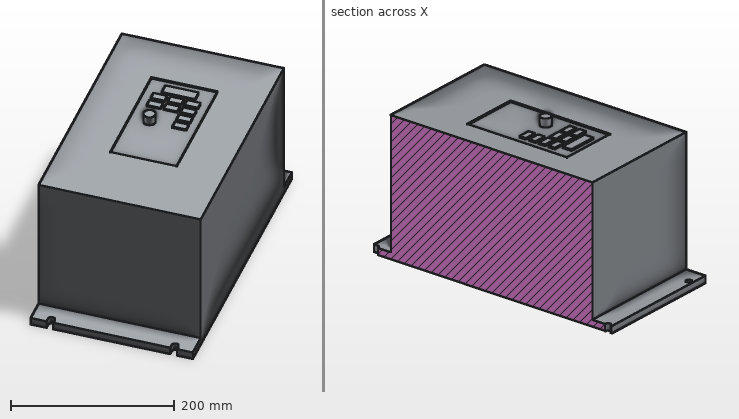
import cadquery as cq

width = 210.0
base_length = 375.0
base_thickness = 10.0
housing_length = 315.0
housing_top = 195.8

fixing_spacing = 160.0
hole_diameter = 8.0
hole_edge_distance = 6.5
slot_width = 8.5
slot_depth = 10.0

panel_width = 86.0
panel_length = 155.5
panel_center_y = 10.0
panel_depth = 2.0
panel_floor = housing_top - panel_depth

display_width = 43.5
display_length = 14.0
display_center_y = panel_center_y + 61.0
button_width = 18.0
button_length = 10.0
button_pitch_x = 21.8
button_pitch_y = 15.0
first_row_y = panel_center_y + 44.2
button_rows = [(-1, 0, 1), (-1, 0, 1), (1,), (1,)]

knob_diameter = 15.0
knob_x = -17.5
knob_y = panel_center_y - 3.0
knob_projection = 10.0


def block(size_x, size_y, bottom, top, center_x=0, center_y=0):
    """Upright rectangular block between two heights."""
    solid = cq.Workplane("XY").box(size_x, size_y, top - bottom, centered=(True, True, False))
    return solid.translate((center_x, center_y, bottom))


def cylinder(diameter, bottom, top, center_x, center_y):
    """Upright cylinder between two heights."""
    solid = cq.Workplane("XY").circle(diameter / 2).extrude(top - bottom)
    return solid.translate((center_x, center_y, bottom))


def fixing_slot(center_x):
    """Cutter for a round-ended slot open at the front edge of the base."""
    front = -base_length / 2
    round_center_y = front + slot_depth - slot_width / 2
    straight = block(slot_width, 2 * (round_center_y - front), 0, base_thickness, center_x, front)
    return straight.union(cylinder(slot_width, 0, base_thickness, center_x, round_center_y))


result = block(width, base_length, 0, base_thickness)
result = result.union(block(width, housing_length, 0, housing_top))

hole_y = base_length / 2 - hole_edge_distance
for side in (-1, 1):
    fixing_x = side * fixing_spacing / 2
    result = result.cut(cylinder(hole_diameter, 0, base_thickness, fixing_x, hole_y))
    result = result.cut(fixing_slot(fixing_x))

result = result.cut(block(panel_width, panel_length, panel_floor, housing_top, 0, panel_center_y))

result = result.union(block(display_width, display_length, panel_floor, housing_top, 0, display_center_y))

for row, columns in enumerate(button_rows):
    button_y = first_row_y - row * button_pitch_y
    for column in columns:
        button_x = column * button_pitch_x
        button = block(button_width, button_length, panel_floor, housing_top, button_x, button_y)
        result = result.union(button)

result = result.union(cylinder(knob_diameter, panel_floor, housing_top + knob_projection, knob_x, knob_y))